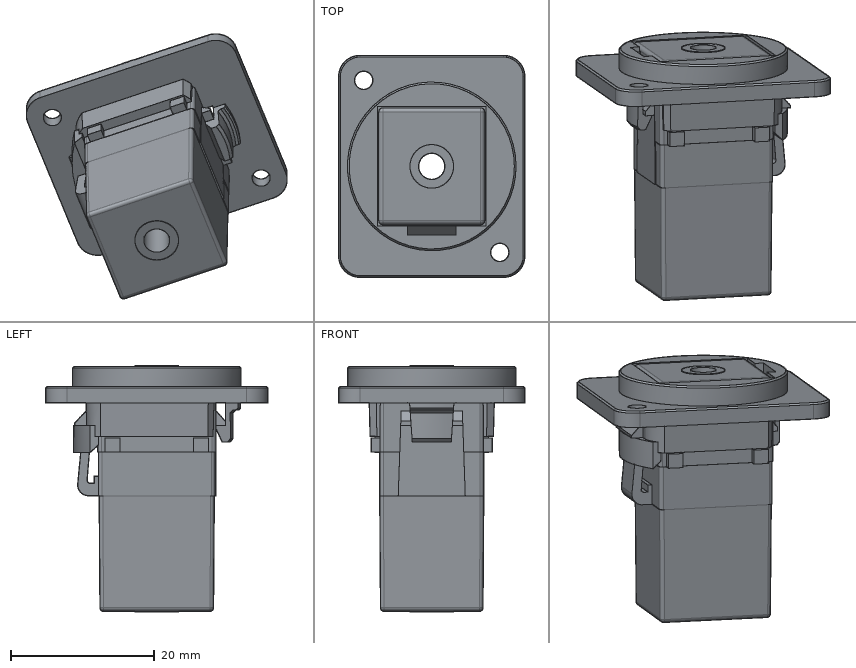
import cadquery as cq
import math


PLATE_X = 26.0
PLATE_Y = 31.0
PLATE_TOP = 2.3
PLATE_CORNER = 3.0
RIM_CHAMFER = 0.25
SCREW_DIA = 2.5
SCREW_X = 9.5
SCREW_Y = 12.0

DISC_DIA = 23.53
DISC_TOP = 5.1
RING_DIA = 6.1
RING_HEIGHT = 0.1
BORE_DIA = 3.6
TOTAL_HEIGHT = 34.4

INSERT_X = 14.8
INSERT_Y = 16.3
INSERT_FILLET = 0.6
GAP = 0.17
GAP_DEPTH = 0.7

BODY_X = 14.55
BODY_Y = 16.3
BODY_BOTTOM = -12.97
BODY_FILLET = 0.5
PANEL_RAISE = 0.15
SIDE_STEP_Z = -6.88
UPPER_BODY_X = BODY_X - 0.07
UPPER_BODY_Y = BODY_Y + 0.2

CAP_X = 14.55
CAP_Y = 16.1
CAP_BOTTOM = DISC_TOP + 2 * RING_HEIGHT - TOTAL_HEIGHT
CAP_TAPER = 0.4

SKIRT_X = 17.48
SKIRT_CORNER_X = 7.7
SKIRT_CORNER_Y = -7.2
SKIRT_ARC_START = 7.88
SKIRT_ARC_RADIUS = 11.75
SKIRT_ARC_END_X = 5.35
SKIRT_FRONT = -7.98
SKIRT_BACK = 9.87
SKIRT_STEP_BACK = 8.6
SKIRT_STEP_Z = -3.15
SKIRT_BOTTOM = -4.68
SKIRT_TAPER = 1.5

LUG_X = 8.45
LUG_WIDTH = 2.05
LUG_CENTER_Y = 6.15
LUG_TOP = -4.9

FRONT_FACE = BODY_Y / 2 + PANEL_RAISE
CATCH_TOP = -1.15
CATCH_EDGE = -2.55
CATCH_BOTTOM = SKIRT_STEP_Z
HOOK_INNER = 9.55
HOOK_BOTTOM = -5.47
HOOK_TOP_HALF = 3.1
HOOK_BOTTOM_HALF = 2.72
HOOK_RIM_Z = -1.0
HOOK_RIM_RADIUS = 11.73
HOOK_STEM_RADIUS = 10.65
HOOK_NECK = 0.4
HOOK_TIP_HEIGHT = 0.48
HOOK_TIP_DEPTH = 0.4
HOOK_TIP_INNER = 9.1
HOOK_LIP_HEIGHT = 0.5
PANEL_TOP_HALF = 4.25
PANEL_BOTTOM_HALF = 4.68
SLOT_WIDTH = 6.75
SLOT_INNER = INSERT_Y / 2

REAR_CATCH_HALF = PANEL_TOP_HALF
HEAD_HALF = 7.95
REAR_CATCH_TIP = 11.45
REAR_CATCH_EDGE = -2.82
HEAD_BACK = 11.63
HEAD_SIDE = 9.3
HEAD_BOTTOM = -6.95
HEAD_SLANT_Z = -5.88
BODY_BACK = BODY_Y / 2
LEVER_WIDTH = 5.85
FOOT_TOP = -11.2
FOOT_BEND_OUT_Y = 9.65
FOOT_BEND_IN_Y = 9.3
ARM_OUT_LOW = (11.05, -11.35)
ARM_OUT_HIGH_Y = 10.63
ARM_IN_LOW = (9.7, -10.75)
ARM_IN_HIGH_Y = 9.4
BEND_OUT_MID = (10.65, -12.45)
BEND_IN_MID = (9.6, -11.08)
STOP_BACK = 8.75
STOP_TOP = -10.2


def slab(size_x, size_y, bottom, top):
    """Block centred on the Z axis between two heights."""
    return cq.Workplane("XY").workplane(offset=bottom).rect(size_x, size_y).extrude(top - bottom)


def span(half_x, y_min, y_max, bottom, top):
    """Block symmetric in X between two Y limits and two heights."""
    return slab(2 * half_x, y_max - y_min, bottom, top).translate((0, (y_min + y_max) / 2, 0))


def cylinder(diameter, bottom, top):
    return cq.Workplane("XY").workplane(offset=bottom).circle(diameter / 2).extrude(top - bottom)


def side_profile(half_x, points):
    """Closed (y, z) outline extruded symmetrically along X."""
    return cq.Workplane("YZ").polyline(points).close().extrude(half_x, both=True)


def front_trapezoid(top_half, bottom_half, top, bottom, depth):
    """Trapezoid in the XZ plane extruded from Y = 0 toward -Y."""
    outline = [(-top_half, top), (top_half, top), (bottom_half, bottom), (-bottom_half, bottom)]
    return cq.Workplane("XZ").polyline(outline).close().extrude(depth)


def make_plate():
    plate = slab(PLATE_X, PLATE_Y, 0, PLATE_TOP).edges("|Z").fillet(PLATE_CORNER)
    plate = plate.faces(">Z").edges().chamfer(RIM_CHAMFER)
    disc = cylinder(DISC_DIA, 0, DISC_TOP).faces(">Z").edges().chamfer(RIM_CHAMFER)
    screws = [(-SCREW_X, SCREW_Y), (SCREW_X, -SCREW_Y)]
    holes = cq.Workplane("XY").pushPoints(screws).circle(SCREW_DIA / 2).extrude(PLATE_TOP)
    pocket = slab(INSERT_X + 2 * GAP, INSERT_Y + 2 * GAP, DISC_TOP - GAP_DEPTH, DISC_TOP)
    insert = slab(INSERT_X, INSERT_Y, DISC_TOP - GAP_DEPTH, DISC_TOP)
    insert = insert.edges("|Z or >Z").fillet(INSERT_FILLET)
    slot = span(SLOT_WIDTH / 2, -HOOK_INNER, -SLOT_INNER, 0, DISC_TOP)
    ring = cylinder(RING_DIA, PLATE_TOP, DISC_TOP + RING_HEIGHT)
    return plate.union(disc).cut(holes).cut(pocket).union(insert).cut(slot).union(ring)


def make_body():
    lower = slab(BODY_X, BODY_Y, BODY_BOTTOM, SIDE_STEP_Z).edges("|Z").fillet(BODY_FILLET)
    upper = slab(UPPER_BODY_X, UPPER_BODY_Y, SIDE_STEP_Z, 0).edges("|Z").fillet(BODY_FILLET)
    panel = front_trapezoid(PANEL_TOP_HALF, PANEL_BOTTOM_HALF, CATCH_TOP, BODY_BOTTOM, FRONT_FACE)
    return lower.union(upper).union(panel)


def make_cap():
    height = BODY_BOTTOM - CAP_BOTTOM
    cap_top = cq.Workplane("XY").workplane(offset=BODY_BOTTOM).rect(CAP_X, CAP_Y)
    cap = cap_top.extrude(-height, taper=CAP_TAPER)
    cap = cap.edges("not(#Z)").fillet(BODY_FILLET).faces("<Z").edges().fillet(BODY_FILLET)
    return cap.union(cylinder(RING_DIA, CAP_BOTTOM - RING_HEIGHT, BODY_BOTTOM))


def make_skirt():
    half_x = SKIRT_X / 2
    start_angle = math.asin(SKIRT_ARC_START / SKIRT_ARC_RADIUS)
    end_angle = math.acos(SKIRT_ARC_END_X / SKIRT_ARC_RADIUS)
    arc_angle = (start_angle + end_angle) / 2
    arc_mid_x = SKIRT_ARC_RADIUS * math.cos(arc_angle)
    arc_mid_y = SKIRT_ARC_RADIUS * math.sin(arc_angle)
    walls = (
        cq.Workplane("XY")
        .moveTo(-SKIRT_CORNER_X, SKIRT_FRONT)
        .lineTo(SKIRT_CORNER_X, SKIRT_FRONT)
        .lineTo(half_x, SKIRT_CORNER_Y)
        .lineTo(half_x, SKIRT_ARC_START)
        .threePointArc((arc_mid_x, arc_mid_y), (SKIRT_ARC_END_X, SKIRT_BACK))
        .lineTo(-SKIRT_ARC_END_X, SKIRT_BACK)
        .threePointArc((-arc_mid_x, arc_mid_y), (-half_x, SKIRT_ARC_START))
        .lineTo(-half_x, SKIRT_CORNER_Y)
        .close()
        .extrude(SKIRT_BOTTOM, taper=SKIRT_TAPER)
    )
    reach = side_profile(
        SKIRT_X,
        [
            (SKIRT_FRONT, 0),
            (SKIRT_BACK, 0),
            (SKIRT_BACK, SKIRT_STEP_Z),
            (SKIRT_STEP_BACK, SKIRT_STEP_Z),
            (SKIRT_STEP_BACK, SKIRT_BOTTOM),
            (SKIRT_FRONT, SKIRT_BOTTOM),
        ],
    )
    return walls.intersect(reach)


def make_lugs():
    lugs = slab(2 * LUG_X, LUG_WIDTH, SIDE_STEP_Z, LUG_TOP)
    return lugs.translate((0, LUG_CENTER_Y, 0)).union(lugs.translate((0, -LUG_CENTER_Y, 0)))


def make_front_catch():
    wedge = side_profile(
        PANEL_BOTTOM_HALF,
        [(0, CATCH_TOP), (-FRONT_FACE, CATCH_TOP), (-HOOK_INNER, CATCH_EDGE), (-HOOK_INNER, CATCH_BOTTOM),
         (0, CATCH_BOTTOM)],
    )
    panel = front_trapezoid(PANEL_TOP_HALF, PANEL_BOTTOM_HALF, CATCH_TOP, BODY_BOTTOM, DISC_DIA)
    return wedge.intersect(panel)


def make_hook():
    """Spring hook: round outer face, straight inner face and a lip under the front catch."""
    outer = (
        cq.Workplane("XZ")
        .polyline(
            [
                (0, 0),
                (HOOK_RIM_RADIUS, 0),
                (HOOK_RIM_RADIUS, HOOK_RIM_Z + RIM_CHAMFER),
                (HOOK_RIM_RADIUS - RIM_CHAMFER, HOOK_RIM_Z),
                (HOOK_STEM_RADIUS + HOOK_NECK, HOOK_RIM_Z),
                (HOOK_STEM_RADIUS, HOOK_RIM_Z - HOOK_NECK),
                (HOOK_STEM_RADIUS, HOOK_BOTTOM + HOOK_TIP_HEIGHT),
                (HOOK_STEM_RADIUS - HOOK_TIP_DEPTH, HOOK_BOTTOM),
                (0, HOOK_BOTTOM),
            ]
        )
        .close()
        .revolve(360, (0, 0, 0), (0, 1, 0))
    )
    inner = side_profile(
        HOOK_TOP_HALF,
        [
            (-HOOK_INNER, 0),
            (-HOOK_INNER, CATCH_BOTTOM),
            (-FRONT_FACE, CATCH_BOTTOM),
            (-FRONT_FACE, CATCH_BOTTOM - HOOK_LIP_HEIGHT),
            (-HOOK_TIP_INNER, HOOK_BOTTOM),
            (-HOOK_RIM_RADIUS, HOOK_BOTTOM),
            (-HOOK_RIM_RADIUS, 0),
        ],
    )
    width = front_trapezoid(HOOK_TOP_HALF, HOOK_BOTTOM_HALF, 0, HOOK_BOTTOM, HOOK_RIM_RADIUS)
    return outer.intersect(inner).intersect(width)


def make_rear_latch():
    """Rear catch, rounded latch head beneath it, and the bent lever that carries the head."""
    catch = side_profile(
        REAR_CATCH_HALF,
        [(0, CATCH_TOP), (SKIRT_BACK, CATCH_TOP), (REAR_CATCH_TIP, REAR_CATCH_EDGE),
         (REAR_CATCH_TIP, CATCH_BOTTOM), (0, CATCH_BOTTOM)],
    )
    head_plan = (
        cq.Workplane("XY")
        .workplane(offset=HEAD_BOTTOM)
        .moveTo(-HEAD_HALF, 0)
        .lineTo(-HEAD_HALF, HEAD_SIDE)
        .threePointArc((0, HEAD_BACK), (HEAD_HALF, HEAD_SIDE))
        .lineTo(HEAD_HALF, 0)
        .close()
        .extrude(CATCH_BOTTOM - HEAD_BOTTOM)
    )
    head_side = side_profile(
        HEAD_HALF,
        [(BODY_BACK, CATCH_BOTTOM), (HEAD_BACK, CATCH_BOTTOM), (HEAD_BACK, HEAD_BOTTOM),
         (HEAD_SIDE, HEAD_BOTTOM), (BODY_BACK, HEAD_SLANT_Z)],
    )
    lever = (
        cq.Workplane("YZ")
        .moveTo(0, BODY_BOTTOM)
        .lineTo(FOOT_BEND_OUT_Y, BODY_BOTTOM)
        .threePointArc(BEND_OUT_MID, ARM_OUT_LOW)
        .lineTo(ARM_OUT_HIGH_Y, HEAD_BOTTOM)
        .lineTo(ARM_IN_HIGH_Y, HEAD_BOTTOM)
        .lineTo(*ARM_IN_LOW)
        .threePointArc(BEND_IN_MID, (FOOT_BEND_IN_Y, FOOT_TOP))
        .lineTo(0, FOOT_TOP)
        .close()
        .extrude(LEVER_WIDTH / 2, both=True)
    )
    stop = span(LEVER_WIDTH / 2, 0, STOP_BACK, FOOT_TOP, STOP_TOP)
    return catch.union(head_plan.intersect(head_side)).union(lever).union(stop)


part = make_plate()
for piece in (make_body(), make_cap(), make_skirt(), make_lugs(), make_front_catch(), make_hook(),
              make_rear_latch()):
    part = part.union(piece)

bore = cylinder(BORE_DIA, CAP_BOTTOM - RING_HEIGHT, DISC_TOP + RING_HEIGHT)
result = part.cut(bore)